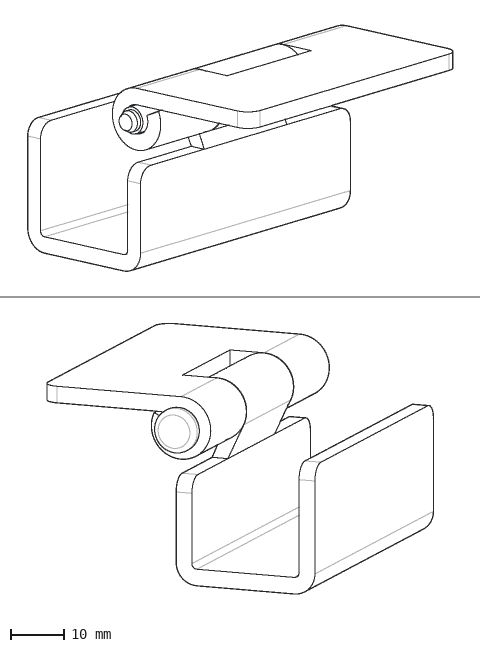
import cadquery as cq
import math

SHEET = 3.2
HINGE_LENGTH = 60.0
CORNER_RADIUS = 3.0
KNUCKLE_RADIUS = 6.0
BORE_RADIUS = KNUCKLE_RADIUS - SHEET
CURL_MOUTH = 65.0

LEAF_REACH = 28.0
SLOT_LENGTH = 24.0
SLOT_REACH = 6.9

CHANNEL_LEFT = -27.0
CHANNEL_WIDTH = 28.0
OVERALL_HEIGHT = 36.0
CHANNEL_BOTTOM = KNUCKLE_RADIUS - OVERALL_HEIGHT
FREE_WALL_HEIGHT = 25.0
HINGE_WALL_HEIGHT = 20.7
BEND_INNER_RADIUS = 1.0
BEND_OUTER_RADIUS = BEND_INNER_RADIUS + SHEET
KNUCKLE_GAP = 0.2
TAB_LENGTH = SLOT_LENGTH - 2 * KNUCKLE_GAP

PIN_LENGTH = 66.7
SHANK_RADIUS = 2.6
HEAD_RADIUS = 4.3
HEAD_THICKNESS = 3.0
HEAD_FILLET = 1.1
HEAD_STANDOFF = 0.55
SHANK_OVERHANG = 1.2
STEM_RADIUS = 2.1
TIP_CHAMFER_LENGTH = 1.0
TIP_CHAMFER_DEPTH = 0.5


def on_circle(radius, degrees):
    """XZ point on a circle around the hinge axis."""
    angle = math.radians(degrees)
    return (radius * math.cos(angle), radius * math.sin(angle))


def tangent_angle(point, radius):
    """Angle where a line from the point touches the circle, on the -X side."""
    distance = math.hypot(*point)
    direction = math.degrees(math.atan2(point[1], point[0])) % 360
    return direction - math.degrees(math.acos(radius / distance))


def make_leaf():
    """Flat plate with a curled knuckle, slotted for the bracket's knuckle."""
    start = 90.0
    end = start + 360.0 - CURL_MOUTH
    middle = (start + end) / 2
    leaf = (
        cq.Workplane("XZ")
        .moveTo(LEAF_REACH, KNUCKLE_RADIUS)
        .lineTo(0, KNUCKLE_RADIUS)
        .threePointArc(on_circle(KNUCKLE_RADIUS, middle), on_circle(KNUCKLE_RADIUS, end))
        .lineTo(*on_circle(BORE_RADIUS, end))
        .threePointArc(on_circle(BORE_RADIUS, middle), (0, BORE_RADIUS))
        .lineTo(LEAF_REACH, BORE_RADIUS)
        .close()
        .extrude(HINGE_LENGTH / 2, both=True)
    )
    leaf = leaf.edges("|Z and >X").fillet(CORNER_RADIUS)
    slot = cq.Workplane("XY").box(2 * SLOT_REACH, SLOT_LENGTH, 2 * SLOT_REACH)
    return leaf.cut(slot)


def channel_wall(left, height):
    """Upright wall with its two top corners rounded."""
    wall = cq.Workplane("XY").box(SHEET, HINGE_LENGTH, height, centered=(False, True, False))
    wall = wall.edges("|X and >Z").fillet(CORNER_RADIUS)
    return wall.translate((left, 0, CHANNEL_BOTTOM))


def make_channel(hinge_wall_left):
    """U channel with bent lower corners."""
    floor = (
        cq.Workplane("XY")
        .box(CHANNEL_WIDTH, HINGE_LENGTH, BEND_OUTER_RADIUS, centered=(False, True, False))
        .translate((CHANNEL_LEFT, 0, CHANNEL_BOTTOM))
    )
    inside = (
        cq.Workplane("XY")
        .box(CHANNEL_WIDTH - 2 * SHEET, HINGE_LENGTH, CHANNEL_WIDTH, centered=(False, True, False))
        .edges("|Y and <Z")
        .fillet(BEND_INNER_RADIUS)
        .translate((CHANNEL_LEFT + SHEET, 0, CHANNEL_BOTTOM + SHEET))
    )
    return (
        floor.cut(inside)
        .union(channel_wall(CHANNEL_LEFT, FREE_WALL_HEIGHT))
        .union(channel_wall(hinge_wall_left, HINGE_WALL_HEIGHT))
        .edges("|Y and <Z")
        .fillet(BEND_OUTER_RADIUS)
    )


def make_tab(hinge_wall_left):
    """Sloping arm that rises from the hinge wall and curls around the pin."""
    wall_top = CHANNEL_BOTTOM + HINGE_WALL_HEIGHT
    outer_corner = (hinge_wall_left, wall_top)
    inner_corner = (hinge_wall_left + SHEET, wall_top)
    outer_start = tangent_angle(outer_corner, KNUCKLE_RADIUS)
    inner_start = tangent_angle(inner_corner, BORE_RADIUS)
    end = outer_start + CURL_MOUTH - 360.0
    middle = (outer_start + end) / 2
    return (
        cq.Workplane("XZ")
        .moveTo(*outer_corner)
        .lineTo(*on_circle(KNUCKLE_RADIUS, outer_start))
        .threePointArc(on_circle(KNUCKLE_RADIUS, middle), on_circle(KNUCKLE_RADIUS, end))
        .lineTo(*on_circle(BORE_RADIUS, end))
        .threePointArc(on_circle(BORE_RADIUS, middle), on_circle(BORE_RADIUS, inner_start))
        .lineTo(*inner_corner)
        .close()
        .extrude(TAB_LENGTH / 2, both=True)
    )


def make_bracket():
    hinge_wall_left = CHANNEL_LEFT + CHANNEL_WIDTH - SHEET
    return make_channel(hinge_wall_left).union(make_tab(hinge_wall_left))


def make_pin():
    """Headed pin with a stepped, chamfered tip toward -Y."""
    head_bottom = HINGE_LENGTH / 2 + HEAD_STANDOFF
    head_top = head_bottom + HEAD_THICKNESS
    tip = head_top - PIN_LENGTH
    step = -HINGE_LENGTH / 2 - SHANK_OVERHANG
    head = (
        cq.Workplane("XZ", origin=(0, head_top, 0))
        .circle(HEAD_RADIUS)
        .extrude(HEAD_THICKNESS)
        .edges()
        .fillet(HEAD_FILLET)
    )
    shank = (
        cq.Workplane("XY")
        .moveTo(0, head_bottom)
        .lineTo(SHANK_RADIUS, head_bottom)
        .lineTo(SHANK_RADIUS, step)
        .lineTo(STEM_RADIUS, step)
        .lineTo(STEM_RADIUS, tip + TIP_CHAMFER_LENGTH)
        .lineTo(STEM_RADIUS - TIP_CHAMFER_DEPTH, tip)
        .lineTo(0, tip)
        .close()
        .revolve(360, (0, 0, 0), (0, 1, 0))
    )
    return head.union(shank)


leaf = make_leaf()
bracket = make_bracket()
pin = make_pin()

result = cq.Compound.makeCompound([leaf.val(), bracket.val(), pin.val()])